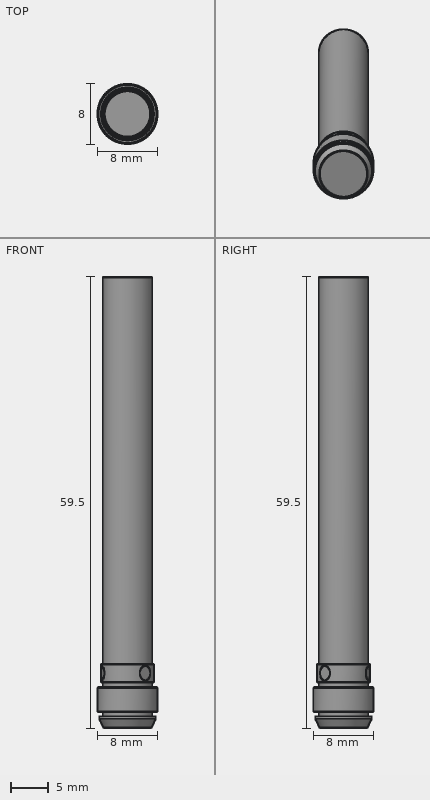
import cadquery as cq
import math

TOTAL_HEIGHT = 59.5

NECK_RADIUS = 3.3
FLANGE_RADIUS = 3.75
FLANGE_BOTTOM_Z = 1.25
FLANGE_TOP_Z = 1.6
NOSE_TIP_RADIUS = 3.1
NOSE_CHAMFER = 0.1
COLLAR_RADIUS = 4.0
COLLAR_BOTTOM_Z = 2.1
COLLAR_TOP_Z = 5.5
COLLAR_CHAMFER = 0.2
BAND_RADIUS = 3.5
BAND_BOTTOM_Z = 6.0
BAND_TOP_Z = 8.5
BAND_CHAMFER = 0.1

HOLE_RADIUS = 0.95
HOLE_Z = 7.25
HOLE_FLOOR_DISTANCE = 3.35
HOLE_COUNT = 3
FIRST_HOLE_ANGLE = 73.5

SLEEVE_RADIUS = 3.3
SLEEVE_WALL = 0.3
SLEEVE_CHAMFER = 0.1
CORE_RADIUS = SLEEVE_RADIUS - SLEEVE_WALL
TUBE_LENGTH = TOTAL_HEIGHT - BAND_TOP_Z


def turned_base():
    """Revolve the half profile of the base, given as (radius, z), about Z."""
    profile = [
        (0, 0),
        (NOSE_TIP_RADIUS, 0),
        (NOSE_TIP_RADIUS + NOSE_CHAMFER, NOSE_CHAMFER),
        (FLANGE_RADIUS, FLANGE_BOTTOM_Z),
        (FLANGE_RADIUS, FLANGE_TOP_Z),
        (NECK_RADIUS, FLANGE_TOP_Z),
        (NECK_RADIUS, COLLAR_BOTTOM_Z),
        (COLLAR_RADIUS - COLLAR_CHAMFER, COLLAR_BOTTOM_Z),
        (COLLAR_RADIUS, COLLAR_BOTTOM_Z + COLLAR_CHAMFER),
        (COLLAR_RADIUS, COLLAR_TOP_Z - COLLAR_CHAMFER),
        (COLLAR_RADIUS - COLLAR_CHAMFER, COLLAR_TOP_Z),
        (NECK_RADIUS, COLLAR_TOP_Z),
        (NECK_RADIUS, BAND_BOTTOM_Z),
        (BAND_RADIUS - BAND_CHAMFER, BAND_BOTTOM_Z),
        (BAND_RADIUS, BAND_BOTTOM_Z + BAND_CHAMFER),
        (BAND_RADIUS, BAND_TOP_Z - BAND_CHAMFER),
        (BAND_RADIUS - BAND_CHAMFER, BAND_TOP_Z),
        (0, BAND_TOP_Z),
    ]
    return cq.Workplane("XZ").polyline(profile).close().revolve(360, (0, 0, 0), (0, 1, 0))


def radial_hole(angle):
    """Cutter for one hole, from its flat floor outward past the collar radius."""
    direction = cq.Vector(math.cos(math.radians(angle)), math.sin(math.radians(angle)), 0)
    floor_center = direction * HOLE_FLOOR_DISTANCE + cq.Vector(0, 0, HOLE_Z)
    floor_plane = cq.Plane(origin=floor_center, xDir=(0, 0, 1), normal=direction)
    return cq.Workplane(floor_plane).circle(HOLE_RADIUS).extrude(COLLAR_RADIUS - HOLE_FLOOR_DISTANCE)


def make_base():
    body = turned_base()
    for index in range(HOLE_COUNT):
        body = body.cut(radial_hole(FIRST_HOLE_ANGLE + index * 360 / HOLE_COUNT))
    return body


def make_core():
    return cq.Workplane("XY").workplane(offset=BAND_TOP_Z).circle(CORE_RADIUS).extrude(TUBE_LENGTH)


def make_sleeve():
    """Thin tube around the core, chamfered at its outer top edge."""
    rod = cq.Workplane("XY").workplane(offset=BAND_TOP_Z).circle(SLEEVE_RADIUS).extrude(TUBE_LENGTH)
    return rod.faces(">Z").edges().chamfer(SLEEVE_CHAMFER).cut(make_core())


base = make_base()
core = make_core()
sleeve = make_sleeve()

result = cq.Compound.makeCompound([base.val(), core.val(), sleeve.val()])